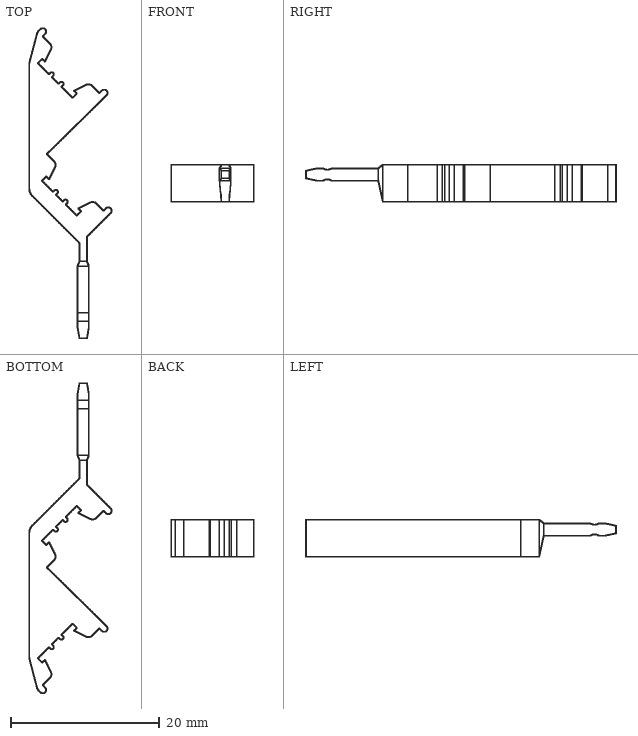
import cadquery as cq
import math

WIDTH = 11.1
LENGTH = 41.8
HEIGHT = 5.0

FLOOR_HALF = 3.3
UNDERCUT_HEIGHT = 0.8
UNDERCUT_DEPTH = 0.55
SHOULDER_HEIGHT = 3.0
CREST_OFFSET = 0.2
CREST_RADIUS = 0.7
FINGER_OFFSET = 2.1
FINGER_RADIUS = 0.45
FINGER_CENTER_HEIGHT = 3.45
BUMP_OFFSET = 0.9
BUMP_RADIUS = 0.3
BUMP_SIDE_HEIGHT = 0.25

WALL_TOP = 37.1
WALL_BOTTOM = 19.6
WALL_BEND_RADIUS = 1.25
FINGER_ROOT_HEIGHT = 2.9
SLOPE_RADIUS = 0.85

PIN_X = 7.25
STEM_WIDTH = 1.05
STEM_END = 10.35
PIN_WIDTH = 1.55
PIN_THICKNESS = 1.67
PIN_Z = 3.68
PIN_ROOT = 9.75
GROOVE_START = 2.35
GROOVE_END = 3.45
GROOVE_DEPTH = 0.15
TAPER_LENGTH = 1.45
TIP_SIZE = 1.05

COS_45 = math.sqrt(0.5)
FINGER_INNER = FLOOR_HALF + FINGER_OFFSET
FINGER_CENTER = FINGER_INNER + FINGER_RADIUS
FINGER_OUTER = FINGER_CENTER + FINGER_RADIUS
FINGER_REACH = (FINGER_CENTER + FINGER_CENTER_HEIGHT) * COS_45 + FINGER_RADIUS
UPPER_CRADLE = (3.5, LENGTH - FINGER_REACH)
LOWER_CRADLE = (WIDTH - FINGER_REACH, 18.9)


def place(cradle, u, v):
    """Turn a cradle point (u, v) into a part point (x, y)."""
    return (cradle[0] + (u + v) * COS_45, cradle[1] + (v - u) * COS_45)


def add_round_end(outline, cradle, u, v, radius):
    """Add a half circle centred on (u, v), running in +u over the top."""
    top = place(cradle, u, v + radius)
    end = place(cradle, u + radius, v)
    return outline.lineTo(*place(cradle, u - radius, v)).threePointArc(top, end)


def add_cradle(outline, cradle):
    """Run from the left shoulder across the floor to the outer side of the right finger."""
    lip = FLOOR_HALF - UNDERCUT_DEPTH
    side = [
        (FLOOR_HALF, 0),
        (FLOOR_HALF, UNDERCUT_HEIGHT),
        (lip, UNDERCUT_HEIGHT),
        (FLOOR_HALF + CREST_OFFSET, SHOULDER_HEIGHT),
        (FINGER_INNER, SHOULDER_HEIGHT),
    ]
    for u, v in reversed(side):
        outline = outline.lineTo(*place(cradle, -u, v))
    for u in (-BUMP_OFFSET, BUMP_OFFSET):
        outline = outline.lineTo(*place(cradle, u - BUMP_RADIUS, 0))
        outline = add_round_end(outline, cradle, u, BUMP_SIDE_HEIGHT, BUMP_RADIUS)
        outline = outline.lineTo(*place(cradle, u + BUMP_RADIUS, 0))
    for u, v in side:
        outline = outline.lineTo(*place(cradle, u, v))
    return add_round_end(outline, cradle, FINGER_CENTER, FINGER_CENTER_HEIGHT, FINGER_RADIUS)


def make_body():
    stem_left = PIN_X - STEM_WIDTH / 2
    stem_right = PIN_X + STEM_WIDTH / 2
    finger_side = place(LOWER_CRADLE, FINGER_OUTER, 0)
    right_corner = finger_side[1] + stem_right - finger_side[0]
    left_corner = WALL_BOTTOM - stem_left

    outline = cq.Workplane("XY").moveTo(0, WALL_TOP)
    outline = outline.lineTo(*place(UPPER_CRADLE, -FINGER_OUTER, FINGER_ROOT_HEIGHT))
    outline = add_round_end(
        outline, UPPER_CRADLE, -FINGER_CENTER, FINGER_CENTER_HEIGHT, FINGER_RADIUS
    )
    outline = add_cradle(outline, UPPER_CRADLE)
    outline = add_cradle(outline, LOWER_CRADLE)
    outline = outline.lineTo(stem_right, right_corner).lineTo(stem_right, STEM_END)
    outline = outline.lineTo(stem_left, STEM_END).lineTo(stem_left, left_corner)
    body = outline.lineTo(0, WALL_BOTTOM).close().extrude(HEIGHT)

    crest = FLOOR_HALF + CREST_OFFSET
    for cradle in (UPPER_CRADLE, LOWER_CRADLE):
        for u in (-crest, crest):
            body = round_edge(body, place(cradle, u, SHOULDER_HEIGHT), CREST_RADIUS)
    slope_top = place(UPPER_CRADLE, -FINGER_OUTER, FINGER_ROOT_HEIGHT)
    for corner in (slope_top, (0, WALL_TOP)):
        body = round_edge(body, corner, SLOPE_RADIUS)
    return round_edge(body, (0, WALL_BOTTOM), WALL_BEND_RADIUS)


def round_edge(body, corner, radius):
    """Fillet the upright edge at an outline corner."""
    middle = (corner[0], corner[1], HEIGHT / 2)
    return body.edges(cq.selectors.NearestToPointSelector(middle)).fillet(radius)


def loft_along_y(start, start_size, start_z, end, end_size, end_z):
    """Join two rectangles (width, height) centred on the pin's X position."""
    return (
        cq.Workplane("XZ", origin=(PIN_X, start, start_z))
        .rect(*start_size)
        .workplane(offset=start - end)
        .center(0, end_z - start_z)
        .rect(*end_size)
        .loft(ruled=True)
    )


def make_pin():
    pin_size = (PIN_WIDTH, PIN_THICKNESS)
    stem_size = (STEM_WIDTH, HEIGHT)
    transition = loft_along_y(STEM_END, stem_size, HEIGHT / 2, PIN_ROOT, pin_size, PIN_Z)
    taper = loft_along_y(TAPER_LENGTH, pin_size, PIN_Z, 0, (TIP_SIZE, TIP_SIZE), PIN_Z)

    top = PIN_Z + PIN_THICKNESS / 2
    bottom = PIN_Z - PIN_THICKNESS / 2
    groove_middle = (GROOVE_START + GROOVE_END) / 2
    shank = (
        cq.Workplane("YZ", origin=(PIN_X, 0, 0))
        .moveTo(PIN_ROOT, bottom)
        .lineTo(PIN_ROOT, top)
        .lineTo(GROOVE_END, top)
        .threePointArc((groove_middle, top - GROOVE_DEPTH), (GROOVE_START, top))
        .lineTo(TAPER_LENGTH, top)
        .lineTo(TAPER_LENGTH, bottom)
        .lineTo(GROOVE_START, bottom)
        .threePointArc((groove_middle, bottom + GROOVE_DEPTH), (GROOVE_END, bottom))
        .close()
        .extrude(PIN_WIDTH / 2, both=True)
    )
    return transition.union(shank).union(taper)


result = make_body().union(make_pin())